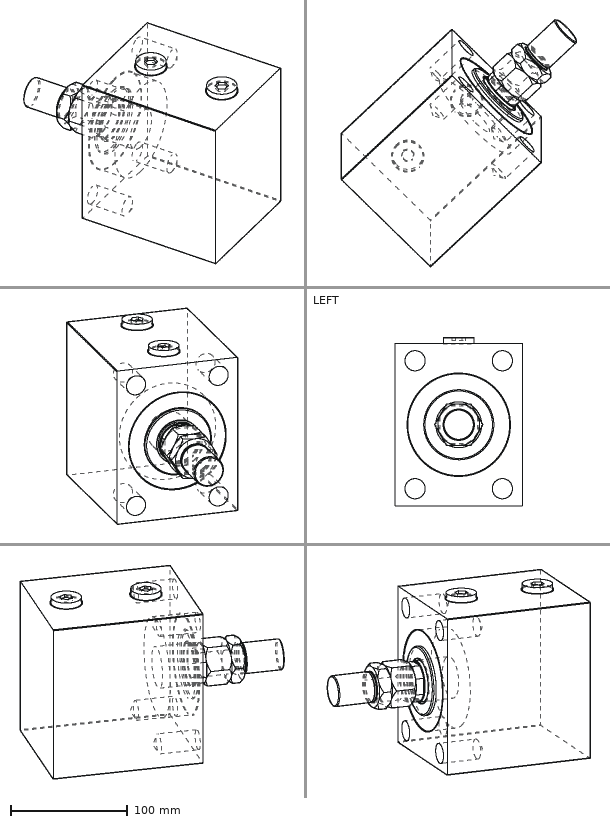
import cadquery as cq
import math


OVERALL_LENGTH = 217.0
HEX_SIDES = 6

HOUSING_LENGTH = 133.2
HOUSING_WIDTH = 110.0
HOUSING_HEIGHT = 140.0
HOUSING_CHAMFER = 0.7
HOUSING_TOP = HOUSING_HEIGHT / 2

MOUNT_HOLE_RADIUS = 8.7
MOUNT_HOLE_DEPTH = 34.7
MOUNT_SPACING_Y = 75.0
MOUNT_SPACING_Z = 110.0
DRILL_POINT_ANGLE = 118.0

GLAND_RADIUS = 43.8
GLAND_DEPTH = 26.0
BORE_CHAMFER = 0.7
FLANGE_RADIUS = 30.2
FLANGE_HEIGHT = 3.3
FLANGE_CHAMFER = 1.0
WIPER_RADIUS = 19.7
WIPER_DEPTH = 1.0

ROD_RADIUS = 18.0
ROD_COLLAR_LENGTH = 2.5
ROD_NECK_RADIUS = 17.5
ROD_NECK_LENGTH = 7.5
ROD_FLAT_WIDTH = 32.1
ROD_CHAMFER = 0.7
ROD_COLLAR_END = -FLANGE_HEIGHT - ROD_COLLAR_LENGTH
ROD_END = ROD_COLLAR_END - ROD_NECK_LENGTH

HEX_FLATS = 36.0
LONG_HEX_LENGTH = 22.4
SHORT_HEX_LENGTH = 12.0
HEX_CHAMFER_LENGTH = 2.8
STUD_TIP = HOUSING_LENGTH - OVERALL_LENGTH
STUD_RADIUS = 13.5
STUD_CHAMFER = 0.9
GROOVE_RADIUS = 12.8
GROOVE_LENGTH = 2.8
GROOVE_RAMP = STUD_RADIUS - GROOVE_RADIUS
HEX_JOINT = ROD_END - LONG_HEX_LENGTH
HEX_END = HEX_JOINT - SHORT_HEX_LENGTH

PLUG_POSITIONS_X = [36.0, 107.0]
PLUG_DIAMETER = 26.3
PLUG_RISE = 5.0
SPOTFACE_DIAMETER = 28.0
SPOTFACE_DEPTH = 0.5
SOCKET_FLATS = 9.8
SOCKET_DEPTH = 2.5


def turned(profile):
    """Revolve a closed outline of (x, radius) points about the X axis."""
    return cq.Workplane("XY").polyline(profile).close().revolve(360, (0, 0, 0), (1, 0, 0))


def across_corners(flats):
    """Corner-to-corner size of a regular hexagon."""
    return flats / math.cos(math.pi / HEX_SIDES)


def mounting_hole():
    """Drilled hole along +X from the origin, ending in a conical point."""
    point_length = MOUNT_HOLE_RADIUS / math.tan(math.radians(DRILL_POINT_ANGLE / 2))
    return turned([
        (0, 0),
        (0, MOUNT_HOLE_RADIUS),
        (MOUNT_HOLE_DEPTH, MOUNT_HOLE_RADIUS),
        (MOUNT_HOLE_DEPTH + point_length, 0),
    ])


def make_housing():
    block = cq.Workplane("XY").box(
        HOUSING_LENGTH, HOUSING_WIDTH, HOUSING_HEIGHT, centered=(False, True, True)
    )
    block = block.edges("|X").chamfer(HOUSING_CHAMFER)

    block = block.cut(turned([
        (0, 0),
        (0, GLAND_RADIUS + BORE_CHAMFER),
        (BORE_CHAMFER, GLAND_RADIUS),
        (GLAND_DEPTH, GLAND_RADIUS),
        (GLAND_DEPTH, 0),
    ]))

    for side_y in (-1, 1):
        for side_z in (-1, 1):
            center = (0, side_y * MOUNT_SPACING_Y / 2, side_z * MOUNT_SPACING_Z / 2)
            block = block.cut(mounting_hole().translate(center))

    spotfaces = (
        cq.Workplane("XY", origin=(0, 0, HOUSING_TOP - SPOTFACE_DEPTH))
        .pushPoints([(x, 0) for x in PLUG_POSITIONS_X])
        .circle(SPOTFACE_DIAMETER / 2)
        .extrude(SPOTFACE_DEPTH)
    )
    return block.cut(spotfaces)


def make_gland():
    """Flanged ring flush with the housing front, with a wiper recess around the rod."""
    return turned([
        (GLAND_DEPTH, ROD_RADIUS),
        (GLAND_DEPTH, GLAND_RADIUS),
        (0, GLAND_RADIUS),
        (0, FLANGE_RADIUS),
        (FLANGE_CHAMFER - FLANGE_HEIGHT, FLANGE_RADIUS),
        (-FLANGE_HEIGHT, FLANGE_RADIUS - FLANGE_CHAMFER),
        (-FLANGE_HEIGHT, WIPER_RADIUS),
        (WIPER_DEPTH - FLANGE_HEIGHT, WIPER_RADIUS),
        (WIPER_DEPTH - FLANGE_HEIGHT, ROD_RADIUS),
    ])


def make_rod():
    """Rod ending flush with the back of the gland, with a four-flat neck at the front."""
    shaft = turned([
        (GLAND_DEPTH, 0),
        (GLAND_DEPTH, ROD_RADIUS),
        (ROD_COLLAR_END + ROD_CHAMFER, ROD_RADIUS),
        (ROD_COLLAR_END, ROD_RADIUS - ROD_CHAMFER),
        (ROD_COLLAR_END, 0),
    ])
    neck = cq.Workplane("YZ", origin=(ROD_END, 0, 0)).circle(ROD_NECK_RADIUS).extrude(ROD_NECK_LENGTH)
    flats = (
        cq.Workplane("YZ", origin=(ROD_END, 0, 0))
        .rect(ROD_FLAT_WIDTH, ROD_FLAT_WIDTH)
        .extrude(ROD_NECK_LENGTH)
    )
    return shaft.union(neck.intersect(flats))


def chamfered_hex(start_x, length):
    """Hexagon along X with its corners coned down to the inscribed circle at both ends."""
    corners = across_corners(HEX_FLATS)
    prism = cq.Workplane("YZ", origin=(start_x, 0, 0)).polygon(HEX_SIDES, corners).extrude(length)
    envelope = turned([
        (start_x, 0),
        (start_x, HEX_FLATS / 2),
        (start_x + HEX_CHAMFER_LENGTH, corners / 2),
        (start_x + length - HEX_CHAMFER_LENGTH, corners / 2),
        (start_x + length, HEX_FLATS / 2),
        (start_x + length, 0),
    ])
    return prism.intersect(envelope)


def make_rod_end():
    stud = turned([
        (HEX_END, 0),
        (HEX_END, STUD_RADIUS),
        (HEX_END - GROOVE_RAMP, GROOVE_RADIUS),
        (HEX_END - GROOVE_LENGTH + GROOVE_RAMP, GROOVE_RADIUS),
        (HEX_END - GROOVE_LENGTH, STUD_RADIUS),
        (STUD_TIP + STUD_CHAMFER, STUD_RADIUS),
        (STUD_TIP, STUD_RADIUS - STUD_CHAMFER),
        (STUD_TIP, 0),
    ])
    long_hex = chamfered_hex(HEX_JOINT, LONG_HEX_LENGTH)
    short_hex = chamfered_hex(HEX_END, SHORT_HEX_LENGTH)
    return stud.union(short_hex).union(long_hex)


def make_plug(x):
    """Round plug standing on its spotface, with a hexagonal socket in the top."""
    plug = (
        cq.Workplane("XY", origin=(x, 0, HOUSING_TOP - SPOTFACE_DEPTH))
        .circle(PLUG_DIAMETER / 2)
        .extrude(SPOTFACE_DEPTH + PLUG_RISE)
    )
    socket = (
        cq.Workplane("XY", origin=(x, 0, HOUSING_TOP + PLUG_RISE))
        .transformed(rotate=(0, 0, 90))
        .polygon(HEX_SIDES, across_corners(SOCKET_FLATS))
        .extrude(-SOCKET_DEPTH)
    )
    return plug.cut(socket)


housing = make_housing()
gland = make_gland()
rod = make_rod()
rod_end = make_rod_end()
plugs = [make_plug(x) for x in PLUG_POSITIONS_X]

result = cq.Compound.makeCompound([
    housing.val(),
    gland.val(),
    rod.val(),
    rod_end.val(),
    *[plug.val() for plug in plugs],
])